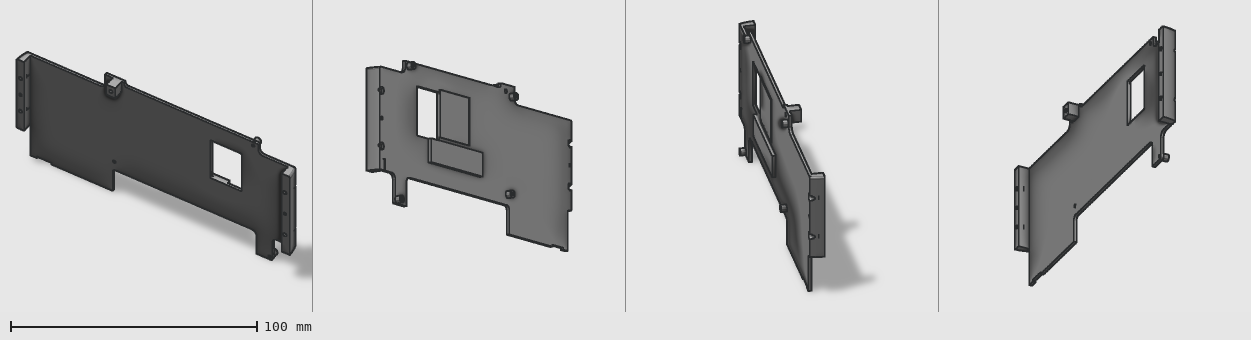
import cadquery as cq

length = 132.0
height = 62.3
plate_front = 4.8
plate_thickness = 1.3
plate_back = plate_front + plate_thickness

rail_top = 55.0
left_edge = 3.7
left_foot_bottom = 0.4
left_foot_right = 43.4
notch_left = 6.9
notch_right = 13.9
notch_depth = 0.8
waist_bottom = 12.3
tab_left = 112.9
tab_right = 120.5
crown_top = 60.3
crown_right = 113.8
ear_left = 39.7
ear_right = 49.0
edge_fillet = 2.4
foot_fillet = 1.5
ear_fillet = 1.3
tab_corner = 0.8

left_rail_bottom = 17.4
rail_width_left = left_edge
rail_overlap = 2.0
rail_foot_fillet = 1.2
rail_width_right = 4.0
rail_back_inset = 1.0
rail_bulge = 0.3
rail_end_fillet = 0.8
slot_width = 0.8
slot_top = 17.0

block_left = left_foot_right
block_width = 4.4
block_height = 5.5

screw_hole = 1.6
locating_hole = 1.25
post_diameter = 3.0
post_height = 2.4
counterbore_floor = 2.5
left_screw_x = 2.0
right_screw_x = length - 2.4
upper_screw_z = 45.3
left_screw_pitch = 18.0
right_screw_pitch = 23.1

window_left = 90.5
window_bottom = 30.6
window_width = 15.2
window_height = 20.6
window_fillet = 0.5
thin_pad_side = 19.8
thin_pad_bottom = 32.5
thin_pad_thickness = 0.4
thick_pad_left = 63.2
thick_pad_width = 35.0
thick_pad_height = 9.9
thick_pad_thickness = 1.6

post_centres = [(41.8, 57.7), (111.3, 58.5), (44.2, 16.8), (119.2, 1.6)]


def box(x, y, z, width, depth, tall):
    return cq.Workplane("XY").box(width, depth, tall, centered=False).translate((x, y, z))


def rod(x, z, diameter, y_start, y_end):
    """Round rod along +Y."""
    return (
        cq.Workplane("XZ", origin=(x, y_start, z))
        .circle(diameter / 2)
        .extrude(y_start - y_end)
    )


def fillet_at(body, x, z, radius):
    """Round the plate edge that runs along Y through (x, z)."""
    near = 0.07
    edges = cq.selectors.BoxSelector(
        (x - near, plate_front - near, z - near),
        (x + near, plate_back + near, z + near),
    )
    return body.edges("|Y").edges(edges).fillet(radius)


def make_plate():
    """Sheet outline with rounded corners; it runs a little way into the left rail."""
    right_edge = length - rail_width_right
    outline = [
        (left_edge, left_foot_bottom),
        (notch_left, left_foot_bottom),
        (notch_left, left_foot_bottom + notch_depth),
        (notch_right, left_foot_bottom + notch_depth),
        (notch_right, left_foot_bottom),
        (left_foot_right, left_foot_bottom),
        (left_foot_right, waist_bottom),
        (tab_left, waist_bottom),
        (tab_left, 0),
        (tab_right, 0),
        (tab_right, waist_bottom),
        (right_edge, waist_bottom),
        (right_edge, rail_top),
        (crown_right, rail_top),
        (crown_right, crown_top),
        (ear_right, crown_top),
        (ear_right, height),
        (ear_left, height),
        (ear_left, rail_top),
        (left_edge - rail_overlap, rail_top),
        (left_edge - rail_overlap, left_rail_bottom),
        (left_edge, left_rail_bottom),
    ]
    plate = (
        cq.Workplane("XZ", origin=(0, plate_front, 0))
        .polyline(outline)
        .close()
        .extrude(-plate_thickness)
    )
    corners = [
        (left_edge, left_rail_bottom, rail_foot_fillet),
        (left_foot_right, waist_bottom, foot_fillet),
        (tab_left, waist_bottom, edge_fillet),
        (tab_right, waist_bottom, edge_fillet),
        (tab_right, 0, tab_corner),
        (crown_right, rail_top, edge_fillet),
        (ear_right, crown_top, ear_fillet),
        (ear_left, rail_top, edge_fillet),
    ]
    for x, z, radius in corners:
        plate = fillet_at(plate, x, z, radius)
    return plate


def make_rail(outer_x, inward, width, bottom, rounded_ends):
    """Rail with a bowed outer side, its bowed edge rounded over on the chosen end faces.

    inward is the X direction toward the plate.
    """
    middle_inset = rail_back_inset / 2 - rail_bulge
    rail = (
        cq.Workplane("XY", origin=(0, 0, bottom))
        .moveTo(outer_x, 0)
        .threePointArc(
            (outer_x + inward * middle_inset, plate_back / 2),
            (outer_x + inward * rail_back_inset, plate_back),
        )
        .lineTo(outer_x + inward * width, plate_back)
        .lineTo(outer_x + inward * width, 0)
        .close()
        .extrude(rail_top - bottom)
    )
    return rail.faces(rounded_ends).edges("%CIRCLE").fillet(rail_end_fillet)


def make_window():
    return (
        box(window_left, plate_front, window_bottom, window_width, plate_thickness, window_height)
        .edges("|Y")
        .fillet(window_fillet)
    )


def cut_screw_row(body, x, pitch):
    """Two counterbored screw holes with a locating hole midway between them."""
    for z in (upper_screw_z, upper_screw_z - pitch):
        body = body.cut(rod(x, z, screw_hole, 0, plate_back))
        body = body.cut(rod(x, z, post_diameter, counterbore_floor, plate_back))
    return body.cut(rod(x, upper_screw_z - pitch / 2, locating_hole, 0, plate_back))


result = make_plate()
result = result.union(make_rail(0, 1, rail_width_left, left_rail_bottom, "<Z or >Z"))
result = result.union(make_rail(length, -1, rail_width_right, waist_bottom, ">Z"))

slot_right = length - rail_width_right
slot_height = slot_top - waist_bottom
slot = box(slot_right - slot_width, plate_front, waist_bottom, slot_width, plate_thickness, slot_height)
result = result.cut(slot)

block_bottom = height - block_height
result = result.union(box(block_left, 0, block_bottom, block_width, plate_back, block_height))
block_hole = rod(block_left + block_width / 2, height - block_height / 2, screw_hole, 0, plate_back)
result = result.cut(block_hole)

thin_pad = box(
    window_left - thin_pad_side, plate_back, thin_pad_bottom,
    thin_pad_side, thin_pad_thickness, thin_pad_side,
)
thick_pad = box(
    thick_pad_left, plate_back, window_bottom - thick_pad_height,
    thick_pad_width, thick_pad_thickness, thick_pad_height,
)
result = result.union(thin_pad).union(thick_pad).cut(make_window())

post_back = plate_back + post_height
for x, z in post_centres:
    result = result.union(rod(x, z, post_diameter, plate_back, post_back))
    result = result.cut(rod(x, z, locating_hole, plate_front, post_back))

result = cut_screw_row(result, left_screw_x, left_screw_pitch)
result = cut_screw_row(result, right_screw_x, right_screw_pitch)